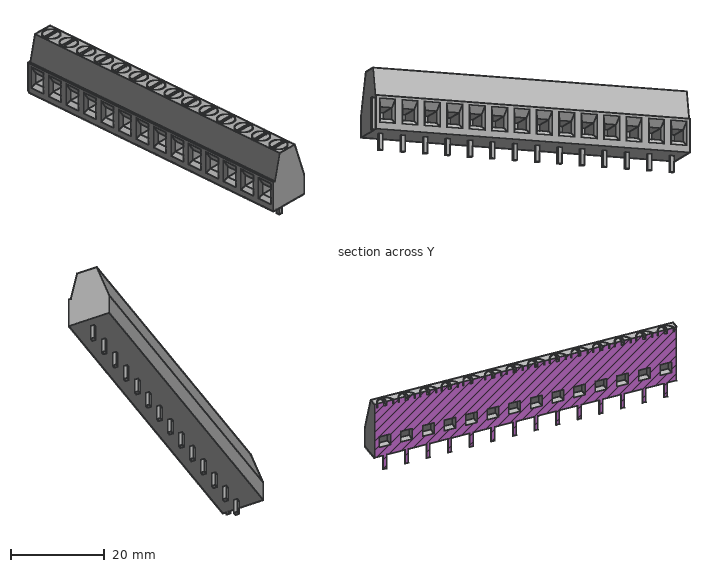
import cadquery as cq


overall_length = 71.85
total_height = 17.3
pole_count = 14
tab_reach = 0.7
body_length = overall_length - tab_reach
pole_pitch = body_length / pole_count
body_depth = 9.8
body_height = 13.8
front_strip_height = 7.4
front_ledge_depth = 0.5
back_wall_height = 4.8
top_front_y = 2.0
top_back_y = 6.75

tab_center_y = 1.0
tab_root_width = 0.6
tab_tip_width = 1.1
tab_height = 7.0

mouth_width = 3.6
mouth_bottom_z = 1.5
mouth_top_z = 6.75
throat_width = 2.6
throat_bottom_z = 2.45
throat_top_z = 5.0
funnel_depth = 0.85
pocket_depth = 6.5

screw_hole_diameter = 4.0
screw_diameter = 3.8
screw_gap_depth = 1.0
screw_slot_width = 0.6
screw_center_y = (top_front_y + top_back_y) / 2

pin_width = 0.85
pin_length = total_height - body_height
pin_center_y = 4.6

pole_centers = [(pole + 0.5) * pole_pitch for pole in range(pole_count)]


def make_body():
    """Housing profile in the YZ plane, extruded along the row."""
    profile = [
        (0, 0),
        (body_depth, 0),
        (body_depth, back_wall_height),
        (top_back_y, body_height),
        (top_front_y, body_height),
        (front_ledge_depth, front_strip_height),
        (0, front_strip_height),
    ]
    return cq.Workplane("YZ").polyline(profile).close().extrude(body_length)


def make_tab():
    """Dovetail tab, wider at its tip than at its root."""
    outline = [
        (0, tab_center_y - tab_root_width / 2),
        (-tab_reach, tab_center_y - tab_tip_width / 2),
        (-tab_reach, tab_center_y + tab_tip_width / 2),
        (0, tab_center_y + tab_root_width / 2),
    ]
    return cq.Workplane("XY").polyline(outline).close().extrude(tab_height)


def make_wire_entry(x):
    """Cutter for one wire entry: funnel plus straight pocket."""
    mouth_center_z = (mouth_bottom_z + mouth_top_z) / 2
    throat_center_z = (throat_bottom_z + throat_top_z) / 2
    throat_height = throat_top_z - throat_bottom_z
    funnel = (
        cq.Workplane("XZ")
        .center(x, mouth_center_z)
        .rect(mouth_width, mouth_top_z - mouth_bottom_z)
        .workplane(offset=-funnel_depth)
        .center(0, throat_center_z - mouth_center_z)
        .rect(throat_width, throat_height)
        .loft(ruled=True)
    )
    pocket = (
        cq.Workplane("XZ", origin=(x, funnel_depth, throat_center_z))
        .rect(throat_width, throat_height)
        .extrude(funnel_depth - pocket_depth)
    )
    return funnel.union(pocket)


def make_screw_recess(x):
    """Cutter for the gap around one screw head and for its driver slot."""
    top = cq.Workplane("XY", origin=(x, screw_center_y, body_height))
    gap = top.circle(screw_hole_diameter / 2).circle(screw_diameter / 2).extrude(-screw_gap_depth)
    hole = top.circle(screw_hole_diameter / 2).extrude(-screw_gap_depth)
    slot = top.rect(screw_slot_width, screw_hole_diameter).extrude(-screw_gap_depth)
    return gap.union(slot.intersect(hole))


def make_pin(x):
    """Solder pin below the housing."""
    return (
        cq.Workplane("XY", origin=(x, pin_center_y, 0))
        .rect(pin_width, pin_width)
        .extrude(-pin_length)
    )


result = make_body().union(make_tab())
for pole_x in pole_centers:
    result = result.cut(make_wire_entry(pole_x))
    result = result.cut(make_screw_recess(pole_x))
    result = result.union(make_pin(pole_x))